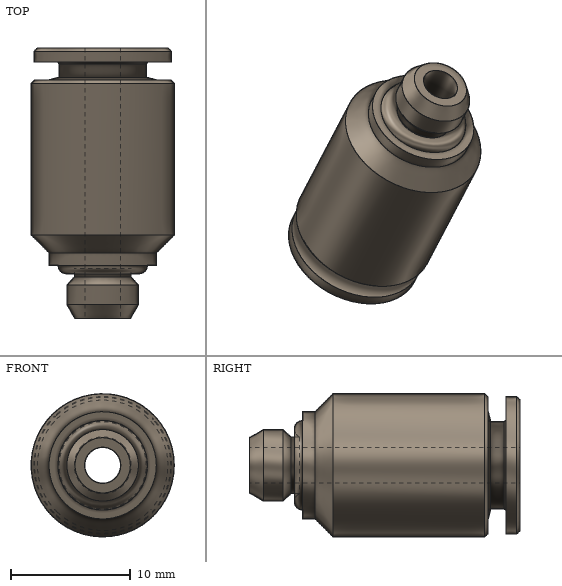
import cadquery as cq
import math

length = 22.7
body_radius = 6.005
bore_radius = 1.5

tip_radius = 2.32
nose_radius = 3.0
tip_taper_top = 1.18
nose_top = 2.81
neck_radius = 2.38
neck_bottom = 3.5

ring_section_radius = 0.7
ring_outer_radius = 3.75
ring_center_radius = ring_outer_radius - ring_section_radius

shoulder_radius = 4.5
shoulder_bottom = 4.47
shoulder_top = 5.52
body_bottom = shoulder_top + body_radius - shoulder_radius
body_top = 20.02
body_chamfer = 0.3

collar_radius = 5.77
collar_bottom = 21.5
collar_chamfer = 0.3
stem_radius = 3.65
stem_flare_radius = 3.77
stem_flare_bottom = 21.34
rim_radius = 4.5
rim_top = 20.23
rim_inner_radius = 3.75

ring_neck_offset = ring_center_radius - neck_radius
ring_neck_height = shoulder_bottom - math.sqrt(ring_section_radius**2 - ring_neck_offset**2)

profile = (
    cq.Workplane("XY")
    .moveTo(bore_radius, 0)
    .lineTo(tip_radius, 0)
    .lineTo(nose_radius, tip_taper_top)
    .lineTo(nose_radius, nose_top)
    .lineTo(neck_radius, neck_bottom)
    .lineTo(neck_radius, ring_neck_height)
    .threePointArc(
        (ring_center_radius, shoulder_bottom - ring_section_radius),
        (ring_outer_radius, shoulder_bottom),
    )
    .lineTo(shoulder_radius, shoulder_bottom)
    .lineTo(shoulder_radius, shoulder_top)
    .lineTo(body_radius, body_bottom)
    .lineTo(body_radius, body_top - body_chamfer)
    .lineTo(body_radius - body_chamfer, body_top)
    .lineTo(rim_radius, body_top)
    .lineTo(rim_inner_radius, rim_top)
    .lineTo(rim_inner_radius, body_top)
    .lineTo(stem_radius, body_top)
    .lineTo(stem_radius, stem_flare_bottom)
    .lineTo(stem_flare_radius, collar_bottom)
    .lineTo(collar_radius, collar_bottom)
    .lineTo(collar_radius, length - collar_chamfer)
    .lineTo(collar_radius - collar_chamfer, length)
    .lineTo(bore_radius, length)
    .close()
)

result = profile.revolve(360, (0, 0, 0), (0, 1, 0))